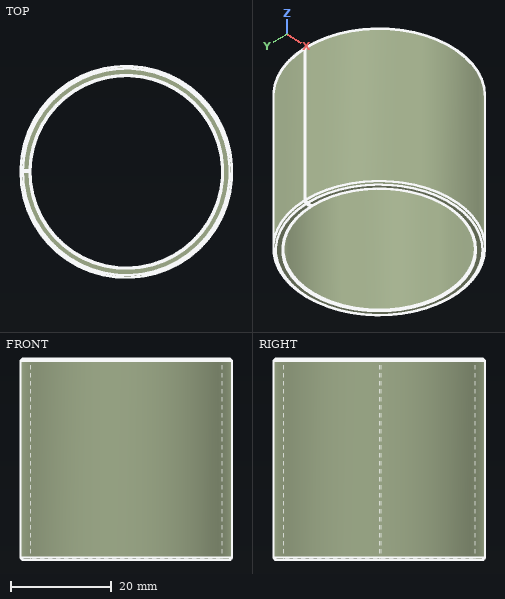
import cadquery as cq

outer_diameter = 42.0
bore_diameter = 38.0
height = 40.0
outer_chamfer = 0.5
bore_chamfer = 0.2
gap_angle = 1.0

outer_radius = outer_diameter / 2
bore_radius = bore_diameter / 2
half_height = height / 2


def make_wall_section():
    """Radial section of the wall on the -X side, chamfered at all four corners."""
    corners = [
        (-bore_radius, -half_height + bore_chamfer),
        (-bore_radius - bore_chamfer, -half_height),
        (-outer_radius + outer_chamfer, -half_height),
        (-outer_radius, -half_height + outer_chamfer),
        (-outer_radius, half_height - outer_chamfer),
        (-outer_radius + outer_chamfer, half_height),
        (-bore_radius - bore_chamfer, half_height),
        (-bore_radius, half_height - bore_chamfer),
    ]
    return cq.Workplane("XZ").polyline(corners).close()


axis_start = (0, 0, 0)
axis_end = (0, 1, 0)
result = make_wall_section().revolve(360 - gap_angle, axis_start, axis_end)